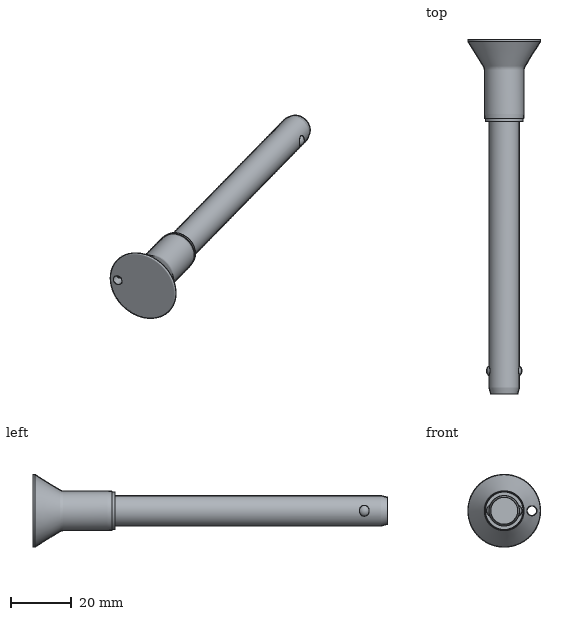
import cadquery as cq

length = 117.1
head_y = length / 2
tip_y = -length / 2

head_diameter = 24.0
head_radius = head_diameter / 2
rim_thickness = 0.7
rim_rounding = 0.4
flare_length = 9.5
neck_blend_radius = 1.8

sleeve_radius = 6.5
sleeve_length = 26.1
sleeve_taper_length = 1.4
sleeve_end_radius = 6.4
collar_radius = 6.2
collar_length = 1.0

shank_radius = 5.0
tip_radius = 4.5
tip_taper_length = 2.1

ball_radius = 2.0
ball_reach = 5.9
ball_tip_distance = 7.7

hole_diameter = 3.2
hole_offset = 9.1


def make_head():
    """Revolve the flare and sleeve, then soften the rim and the neck."""
    neck_y = head_y - flare_length
    sleeve_end_y = head_y - sleeve_length
    profile = [
        (0, head_y),
        (head_radius, head_y),
        (head_radius, head_y - rim_thickness),
        (sleeve_radius, neck_y),
        (sleeve_radius, sleeve_end_y + sleeve_taper_length),
        (sleeve_end_radius, sleeve_end_y),
        (0, sleeve_end_y),
    ]
    head = cq.Workplane("XY").polyline(profile).close().revolve(360, (0, 0), (0, 1))
    neck_point = (0, neck_y, sleeve_radius)
    head = head.edges(cq.NearestToPointSelector(neck_point)).fillet(neck_blend_radius)
    return head.faces(">Y").edges().fillet(rim_rounding)


def make_rod(radius, start_y, rod_length):
    """A round rod running from start_y toward -Y."""
    return cq.Workplane("XZ", origin=(0, start_y, 0)).circle(radius).extrude(rod_length)


def make_shank():
    """Shank running from the sleeve to a tapered tip."""
    start_y = head_y - sleeve_length
    shank = make_rod(shank_radius, start_y, start_y - tip_y)
    return shank.faces("<Y").chamfer(tip_taper_length, shank_radius - tip_radius)


def make_ball(side):
    """A locking ball partly sunk into the +X or -X side of the shank."""
    center = (side * (ball_reach - ball_radius), tip_y + ball_tip_distance, 0)
    return cq.Workplane("XY", origin=center).sphere(ball_radius)


collar = make_rod(collar_radius, head_y - sleeve_length, collar_length)
lanyard_hole = make_rod(hole_diameter / 2, head_y, flare_length).translate((hole_offset, 0, 0))

result = make_head().cut(lanyard_hole).union(collar).union(make_shank())
for side in (-1, 1):
    result = result.union(make_ball(side))